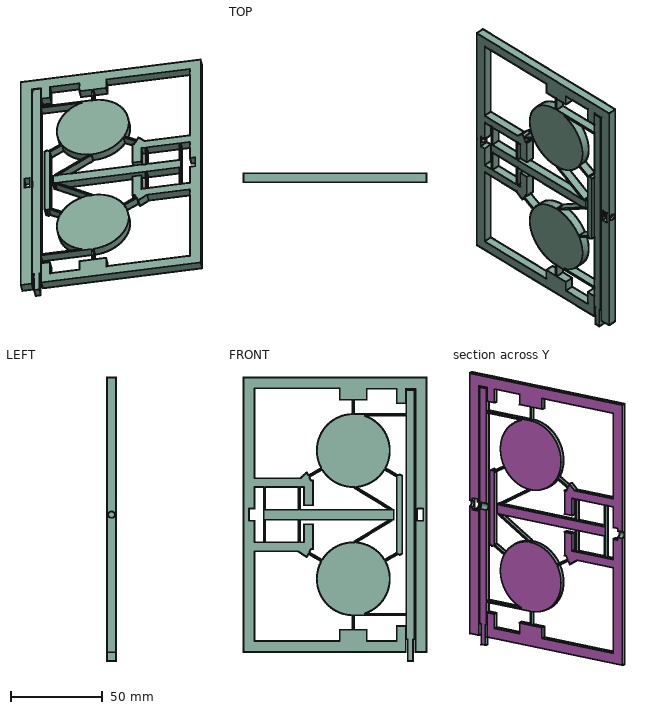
import cadquery as cq
import math


thickness = 5.0
width = 100.0
total_height = 155.0
tail_overhang = 5.0
wall = 6.0
upper_right_wall = 6.4
half_height = (total_height - tail_overhang) / 2

channel_left = 88.7
channel_right = width - wall
left_clearance = 0.2
right_clearance = 0.5
top_clearance = 0.5
slider_bottom_recess = 7.0
slider_left = channel_left + left_clearance
slider_right = channel_right - right_clearance
channel_top = half_height - upper_right_wall
slider_top = channel_top - top_clearance
slider_bottom = -(half_height - slider_bottom_recess)
tail_width = 3.0

disc_radius = 20.0
disc_x = 60.0
disc_z = 35.0
pad_width = 14.9
pad_depth = 12.2
stub_left = 83.7
stub_depth = 14.3

flexure = 0.99
flexure_angle = 30.0
cosine = math.cos(math.radians(flexure_angle))
slope = math.tan(math.radians(flexure_angle))
diagonal_disc_x = 60.8
diagonal_beam_x = 80.8

beam_left = 11.0
beam_right = 82.2
beam_half_height = 2.8
second_flexure_left = 29.9

arm_inner = 15.0
arm_thickness = 5.0
arm_outer = arm_inner + arm_thickness
hook_left = 33.0
hook_right = hook_left + arm_thickness
hook_end = 5.1
hook_shoulder = 18.8
wedge_x = 34.5
wedge_z = 23.2
wedge_base_x = 36.9
upper_wedge_foot = 31.2
lower_wedge_foot = 29.8

strip_left = 83.7
strip_right = 86.8
strip_shoulder = 21.2
strip_peak_x = 85.4
strip_peak_z = strip_shoulder + (strip_right - strip_peak_x) * slope

pocket_height = 6.5
pocket_width = 3.1
left_pocket_x = 3.1
right_pocket_x = 95.0
hole_diameter = 3.5


def plate(points):
    """Extrude an outline of (x, z) points through the full thickness."""
    return cq.Workplane("XZ").polyline(points).close().extrude(-thickness)


def block(x0, x1, z0, z1):
    """Rectangular block of full thickness."""
    return plate([(x0, z0), (x1, z0), (x1, z1), (x0, z1)])


def bar_between(start, end):
    """Flexure of constant width whose centre line joins two (x, z) points."""
    dx = end[0] - start[0]
    dz = end[1] - start[1]
    length = math.hypot(dx, dz)
    nx = -dz / length * flexure / 2
    nz = dx / length * flexure / 2
    return plate([
        (start[0] + nx, start[1] + nz),
        (end[0] + nx, end[1] + nz),
        (end[0] - nx, end[1] - nz),
        (start[0] - nx, start[1] - nz),
    ])


def screw_hole(x0, x1):
    """Hole along X, centred in the thickness at mid height."""
    start = cq.Workplane("YZ", origin=(x0, thickness / 2, 0))
    return start.circle(hole_diameter / 2).extrude(x1 - x0)


def make_frame():
    """Rectangular frame with a slider channel that is open at the bottom."""
    frame = block(0, width, -half_height, half_height)
    window = block(wall, channel_left, -half_height + wall, half_height - wall)
    channel = block(channel_left, channel_right, -half_height, channel_top)
    lintel = block(disc_x, channel_right, channel_top, half_height)
    return frame.cut(window).cut(channel).union(lintel)


def make_slider():
    """Long bar in the channel with a narrow tail below the frame."""
    body = block(slider_left, slider_right, slider_bottom, slider_top)
    middle = (slider_left + slider_right) / 2
    tail_end = -half_height - tail_overhang
    tail = block(middle - tail_width / 2, middle + tail_width / 2, tail_end, slider_bottom)
    return body.union(tail)


def make_hooked_arm(wedge_foot):
    """Arm of the upper half with its hook and the wedge carrying a flexure."""
    return plate([
        (wall / 2, arm_inner),
        (hook_left, arm_inner),
        (hook_left, hook_end),
        (hook_right, hook_end),
        (hook_right, hook_shoulder),
        (wedge_base_x, hook_shoulder),
        (wedge_x, wedge_z),
        (wedge_foot, arm_outer),
        (wall / 2, arm_outer),
    ])


def make_upper_half(wedge_foot):
    """Everything inside the frame on the +Z side that has a twin on the -Z side."""
    disc = cq.Workplane("XZ").center(disc_x, disc_z).circle(disc_radius).extrude(-thickness)
    disc_top = disc_z + disc_radius
    disc_bottom = disc_z - disc_radius
    pad_edge = half_height - pad_depth

    def radial_z(x):
        return disc_z - abs(x - disc_x) * slope

    wedge_anchor = (wedge_x, radial_z(wedge_x))
    strip_anchor = (strip_left + flexure, radial_z(strip_left + flexure))
    rim_x = (disc_radius - flexure) * cosine

    pieces = [
        make_hooked_arm(wedge_foot),
        block(disc_x - pad_width / 2, disc_x + pad_width / 2, pad_edge, half_height),
        block(stub_left, channel_left, half_height - stub_depth, half_height),
        block(disc_x - flexure / 2, disc_x + flexure / 2, disc_z, pad_edge),
        block(disc_x, slider_left, disc_top - flexure, disc_top),
        bar_between((disc_x - rim_x, radial_z(disc_x - rim_x)), wedge_anchor),
        bar_between((disc_x + rim_x, radial_z(disc_x + rim_x)), strip_anchor),
        bar_between((diagonal_disc_x, disc_bottom), (diagonal_beam_x, beam_half_height)),
        block(beam_left, beam_left + flexure, 0, arm_inner),
        block(second_flexure_left, second_flexure_left + flexure, 0, arm_inner),
        plate([
            (strip_left, 0),
            (strip_right, 0),
            (strip_right, strip_shoulder),
            (strip_peak_x, strip_peak_z),
            (strip_left, strip_shoulder),
        ]),
    ]
    half = disc
    for piece in pieces:
        half = half.union(piece)
    return half


upper = make_upper_half(upper_wedge_foot)
lower = make_upper_half(lower_wedge_foot).mirror("XY")
beam = block(beam_left, beam_right, -beam_half_height, beam_half_height)

result = make_frame().union(make_slider()).union(upper).union(lower).union(beam)

result = result.cut(block(left_pocket_x, wall, -pocket_height / 2, pocket_height / 2))
result = result.cut(
    block(right_pocket_x, right_pocket_x + pocket_width, -pocket_height / 2, pocket_height / 2)
)

result = result.cut(screw_hole(0, wall)).cut(screw_hole(slider_left, width))